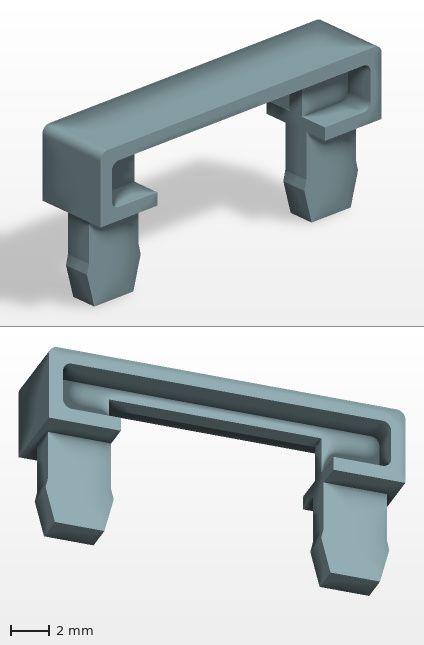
import cadquery as cq

length = 19.8
width = 4.5
total_height = 9.6
half_length = length / 2
block_height = 4.3
block_length = 4.0
bar_height = 1.5
edge_radius = 0.5

web_thickness = 0.99
skin_thickness = 0.83
end_wall = 0.8
floor_thickness = 0.77
recess_radius = 0.5
recess_depth = (width - web_thickness) / 2

leg_thickness = 1.62
leg_end_inset = 0.5
leg_length = block_length - leg_end_inset
barb_height = 0.14
barb_start = 7.03
barb_peak = 7.62
tip_inset = 0.38


def make_bridge():
    """U-shaped body, with its top face at Z = 0."""
    body = cq.Workplane("XY").box(width, length, block_height, centered=(True, True, False))
    body = body.translate((0, 0, -block_height))
    body = body.edges("|X and >Z").fillet(edge_radius)
    gap_height = block_height - bar_height
    gap = cq.Workplane("XY").box(
        width, length - 2 * block_length, gap_height, centered=(True, True, False)
    )
    return body.cut(gap.translate((0, 0, -block_height)))


def make_recess(side):
    """Rounded side recess running along the whole bridge; side is -1 or +1 in X."""
    height = block_height - skin_thickness - floor_thickness
    recess = cq.Workplane("XY").box(recess_depth, length - 2 * end_wall, height)
    recess = recess.edges("|X").fillet(recess_radius)
    x_center = side * (web_thickness + recess_depth) / 2
    return recess.translate((x_center, 0, -skin_thickness - height / 2))


def make_leg(side):
    """Leg under one block; side is -1 or +1 in Y."""
    half_leg = leg_length / 2
    right_side = [
        (half_leg, -block_height),
        (half_leg, -barb_start),
        (half_leg + barb_height, -barb_peak),
        (half_leg - tip_inset, -total_height),
    ]
    left_side = [(-y, z) for y, z in reversed(right_side)]
    leg = cq.Workplane("YZ").polyline(right_side + left_side).close()
    leg = leg.extrude(leg_thickness / 2, both=True)
    y_center = half_length - leg_end_inset - half_leg
    return leg.translate((0, side * y_center, 0))


result = make_bridge()
for side in (-1, 1):
    result = result.cut(make_recess(side))
    result = result.union(make_leg(side))